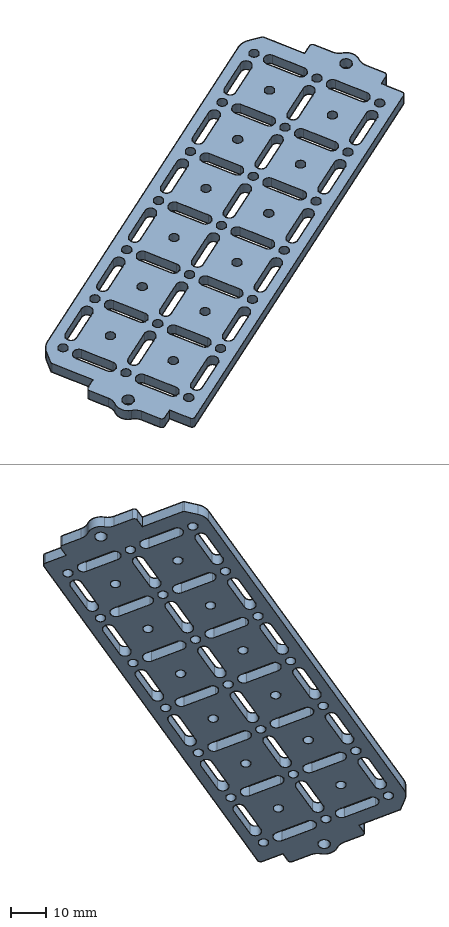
import cadquery as cq
import math

plate_width = 49.8
plate_length = 133.0
thickness = 4.0
half_width = plate_width / 2
half_length = plate_length / 2

bevel = 4.5
bevel_side_radius = 5.0
bevel_end_radius = 0.5
corner_radius = 1.0

grid_center_x = 0.1

tab_center_x = grid_center_x + 5.0
tab_width = 24.4
tab_height = 4.0
tab_corner_radius = 1.0
tab_hole_diameter = 3.5
tab_hole_y = half_length + 2.0
ear_radius = 4.0
ear_blend_radius = 4.0

pitch = 20.0
columns = 2
rows = 6
hole_diameter = 2.9
slot_length = 13.5
slot_width = 3.5


def centered_positions(count):
    """Coordinates of `count` equally pitched places centred on zero."""
    return [(i - (count - 1) / 2) * pitch for i in range(count)]


def grid_points(x_count, y_count):
    """Points of a square grid, column by column."""
    return [
        (grid_center_x + x, y)
        for x in centered_positions(x_count)
        for y in centered_positions(y_count)
    ]


def base_plate():
    """Plate outline with its four treated corners."""
    plate = cq.Workplane("XY").rect(plate_width, plate_length).extrude(thickness)
    plate = plate.edges("|Z and <X").chamfer(bevel)
    plate = plate.edges("|Z and <X").fillet(bevel_side_radius)
    bevel_end_x = -half_width + bevel
    for y in (-half_length, half_length):
        bevel_end = cq.selectors.NearestToPointSelector((bevel_end_x, y, thickness / 2))
        plate = plate.edges("|Z").edges(bevel_end).fillet(bevel_end_radius)
    return plate.edges("|Z and >X").fillet(corner_radius)


def end_tab():
    """Tab at the +Y end, reaching into the plate so that the two fuse."""
    root_y = half_length - corner_radius
    top_y = half_length + tab_height
    left_x = tab_center_x - tab_width / 2
    right_x = tab_center_x + tab_width / 2

    blend_center_y = top_y + ear_blend_radius
    center_distance = ear_radius + ear_blend_radius
    rise = blend_center_y - tab_hole_y
    blend_offset = math.sqrt(center_distance**2 - rise**2)
    touch_ratio = ear_radius / center_distance
    touch_offset = blend_offset * touch_ratio
    touch_y = tab_hole_y + rise * touch_ratio

    tab = (
        cq.Workplane("XY")
        .moveTo(left_x, root_y)
        .lineTo(left_x, top_y - tab_corner_radius)
        .radiusArc((left_x + tab_corner_radius, top_y), tab_corner_radius)
        .lineTo(tab_center_x - blend_offset, top_y)
        .radiusArc((tab_center_x - touch_offset, touch_y), -ear_blend_radius)
        .radiusArc((tab_center_x + touch_offset, touch_y), ear_radius)
        .radiusArc((tab_center_x + blend_offset, top_y), -ear_blend_radius)
        .lineTo(right_x - tab_corner_radius, top_y)
        .radiusArc((right_x, top_y - tab_corner_radius), tab_corner_radius)
        .lineTo(right_x, root_y)
        .close()
        .extrude(thickness)
    )
    hole = (
        cq.Workplane("XY")
        .center(tab_center_x, tab_hole_y)
        .circle(tab_hole_diameter / 2)
        .extrude(thickness)
    )
    return tab.cut(hole)


def round_holes():
    """Holes at the grid crossings and at the middle of each grid cell."""
    points = grid_points(columns + 1, rows + 1) + grid_points(columns, rows)
    return cq.Workplane("XY").pushPoints(points).circle(hole_diameter / 2).extrude(thickness)


def slots(points, angle):
    """Round-ended through slots, turned by `angle` degrees from the X axis."""
    return cq.Workplane("XY").pushPoints(points).slot2D(slot_length, slot_width, angle).extrude(thickness)


tab = end_tab()
result = base_plate().union(tab).union(tab.mirror("XZ"))
result = result.cut(round_holes())
result = result.cut(slots(grid_points(columns, rows + 1), 0))
result = result.cut(slots(grid_points(columns + 1, rows), 90))